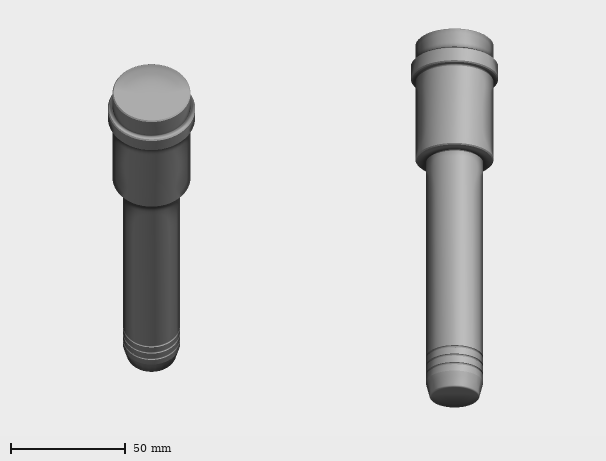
import cadquery as cq

total_height = 170.0
head_bottom = 114.0
collar_bottom = 153.0
collar_top = 160.0
tip_height = 7.0

head_radius = 17.0
collar_radius = 19.0
shaft_diameter = 25.0
shaft_radius = shaft_diameter / 2
tip_radius = 10.7

edge_chamfer = 0.5
tip_fillet = 0.8

collar_relief_radius = 0.5
shaft_relief_width = 1.0
shaft_relief_depth = 1.0

ring_groove_count = 3
ring_groove_radius = 0.5
ring_groove_pitch = 4.0
first_ring_groove_middle = 10.5


def cylinder(radius, bottom, top):
    """Solid cylinder about the Z axis between two heights."""
    return cq.Workplane("XY").workplane(offset=bottom).circle(radius).extrude(top - bottom)


def cut_groove(body, outer_radius, depth, bottom, width):
    """Cut a square groove around a cylindrical surface."""
    ring = (
        cq.Workplane("XY")
        .workplane(offset=bottom)
        .circle(outer_radius)
        .circle(outer_radius - depth)
        .extrude(width)
    )
    return body.cut(ring)


def cut_round_groove(body, outer_radius, middle, groove_radius):
    """Cut a half-round groove around a cylindrical surface."""
    ring = cq.Workplane(cq.Solid.makeTorus(outer_radius, groove_radius, cq.Vector(0, 0, middle)))
    return body.cut(ring)


head = cylinder(head_radius, head_bottom, total_height).edges().chamfer(edge_chamfer)
for relief_middle in (collar_bottom - collar_relief_radius, collar_top + collar_relief_radius):
    head = cut_round_groove(head, head_radius, relief_middle, collar_relief_radius)

collar = cylinder(collar_radius, collar_bottom, collar_top).edges().chamfer(edge_chamfer)

shaft = cylinder(shaft_radius, tip_height, head_bottom)
shaft = cut_groove(
    shaft, shaft_radius, shaft_relief_depth, head_bottom - shaft_relief_width, shaft_relief_width
)
for index in range(ring_groove_count):
    groove_middle = first_ring_groove_middle + index * ring_groove_pitch
    shaft = cut_round_groove(shaft, shaft_radius, groove_middle, ring_groove_radius)

tip = (
    cq.Workplane("XZ")
    .polyline([(0, 0), (tip_radius, 0), (shaft_radius, tip_height), (0, tip_height)])
    .close()
    .revolve(360, (0, 0, 0), (0, 1, 0))
    .faces("<Z")
    .edges()
    .fillet(tip_fillet)
)

result = head.union(collar).union(shaft).union(tip)